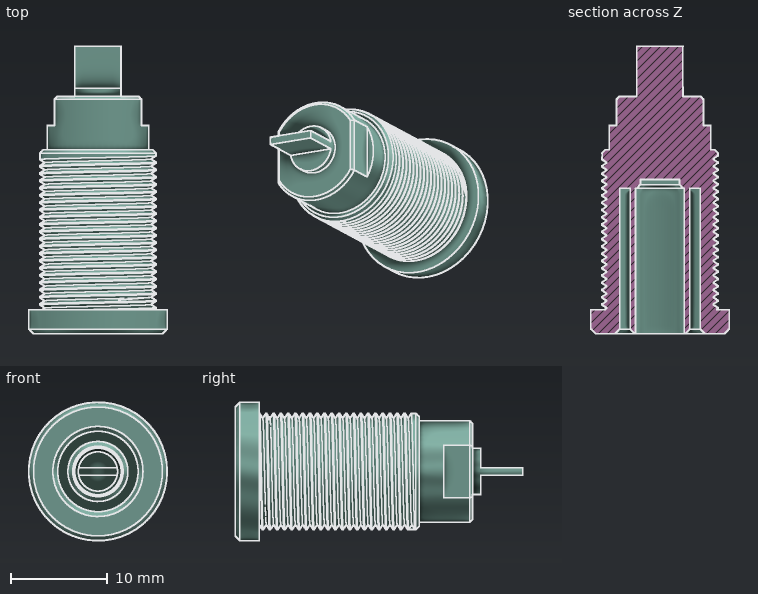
import cadquery as cq
import math


flange_diameter = 14.3
flange_thickness = 2.5
flange_chamfer = 0.5
shank_diameter = 12.0
shank_end = 19.0
shank_chamfer = 0.35

thread_pitch = 0.75
thread_depth = 0.5
thread_angle = 66.0
thread_start = 1.54
thread_turns = 22.25
cut_overlap = 0.05

body_diameter = 10.5
body_end = 24.5
body_chamfer = 0.3
flats_width = 9.0
flats_start = 21.5

shroud_bore_diameter = 8.3
shroud_bore_depth = 15.0
shroud_bore_chamfer = 0.5
tube_diameter = 6.2
tube_chamfer = 0.5
socket_diameter = 5.0
socket_depth = 15.0
socket_taper_diameter = 4.8
socket_floor_diameter = 4.05
socket_taper_length = 0.4
floor_slot_depth = 0.5

terminal_diameter = 4.8
collar_end = 25.35
tab_end = 29.69
tab_thickness = 0.8


def revolved(points):
    """Solid of revolution about Y from (radius, y) points."""
    return cq.Workplane("XY").polyline(points).close().revolve(360, (0, 0, 0), (0, 1, 0))


def cylinder(diameter, y_start, y_end):
    """Cylinder about Y between two stations."""
    radius = diameter / 2
    return revolved([(0, y_start), (radius, y_start), (radius, y_end), (0, y_end)])


def make_flange():
    flange = cylinder(flange_diameter, 0, flange_thickness)
    return flange.faces("<Y").edges().chamfer(flange_chamfer)


def make_thread_groove():
    """V groove swept along a helix about Z, then laid along Y."""
    root_radius = shank_diameter / 2 - thread_depth
    tool_depth = thread_depth + cut_overlap
    half_width = tool_depth * math.tan(math.radians(thread_angle / 2))
    outer_radius = root_radius + tool_depth
    helix = cq.Wire.makeHelix(thread_pitch, thread_turns * thread_pitch, root_radius)
    groove = (
        cq.Workplane("XZ")
        .polyline([(outer_radius, half_width), (outer_radius, -half_width), (root_radius, 0)])
        .close()
        .sweep(cq.Workplane(helix), isFrenet=True)
    )
    return groove.rotate((0, 0, 0), (1, 0, 0), -90).translate((0, thread_start, 0))


def make_shank():
    """Shank with a chamfered end and the thread groove cut into it."""
    shank = cylinder(shank_diameter, flange_thickness, shank_end)
    shank = shank.faces(">Y").edges().chamfer(shank_chamfer)
    return shank.cut(make_thread_groove())


def make_rear_body():
    """Rear body, flattened at +X and -X, with its end edge chamfered."""
    flats_length = body_end - flats_start
    flatted = cylinder(body_diameter, flats_start, body_end).intersect(
        cq.Workplane("XY")
        .box(flats_width, flats_length, body_diameter)
        .translate((0, flats_start + flats_length / 2, 0))
    )
    flatted = flatted.faces(">Y").edges().chamfer(body_chamfer)
    return cylinder(body_diameter, shank_end, flats_start).union(flatted)


def make_terminal():
    """Round collar and the flat tab milled from the same rod."""
    collar = cylinder(terminal_diameter, body_end, collar_end)
    tab_length = tab_end - collar_end
    tab = cylinder(terminal_diameter, collar_end, tab_end).intersect(
        cq.Workplane("XY")
        .box(terminal_diameter, tab_length, tab_thickness)
        .translate((0, collar_end + tab_length / 2, 0))
    )
    return collar.union(tab)


def make_shroud_cavity():
    """Ring-shaped space between the shroud bore and the contact tube."""
    bore_radius = shroud_bore_diameter / 2
    tube_radius = tube_diameter / 2
    return revolved([
        (tube_radius - tube_chamfer, 0),
        (bore_radius + shroud_bore_chamfer, 0),
        (bore_radius, shroud_bore_chamfer),
        (bore_radius, shroud_bore_depth),
        (tube_radius, shroud_bore_depth),
        (tube_radius, tube_chamfer),
    ])


def make_socket():
    """Contact bore with a tapered bottom and a slot across its floor."""
    socket_radius = socket_diameter / 2
    floor_radius = socket_floor_diameter / 2
    floor_y = socket_depth + socket_taper_length
    slot_end = floor_y + floor_slot_depth
    bore = revolved([
        (0, 0),
        (socket_radius, 0),
        (socket_radius, socket_depth),
        (socket_taper_diameter / 2, socket_depth),
        (floor_radius, floor_y),
        (0, floor_y),
    ])
    slot = cylinder(socket_floor_diameter, floor_y, slot_end).intersect(
        cq.Workplane("XY")
        .box(socket_floor_diameter, floor_slot_depth, tab_thickness)
        .translate((0, floor_y + floor_slot_depth / 2, 0))
    )
    return bore.union(slot)


result = (
    make_shank()
    .union(make_flange())
    .union(make_rear_body())
    .union(make_terminal())
    .cut(make_shroud_cavity())
    .cut(make_socket())
)